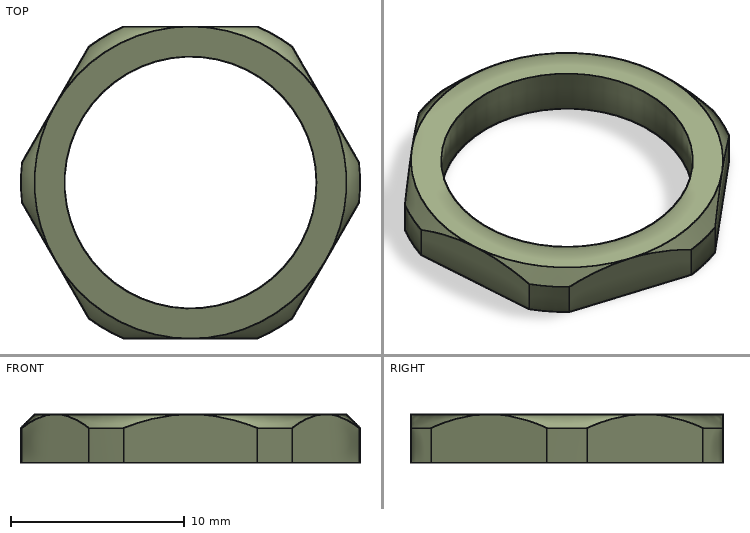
import cadquery as cq
import math

corner_diameter = 19.58
across_flats = 18.0
bore_diameter = 14.5
thickness = 2.8

bevel = (corner_diameter - across_flats) / 2


def rounded_blank():
    """Disc that rounds the hexagon corners, beveled around its top edge."""
    disc = cq.Workplane("XY").circle(corner_diameter / 2).extrude(thickness)
    return disc.faces(">Z").edges().chamfer(bevel)


def hexagon_prism():
    """Hexagon with corners on the X axis and flats facing +Y and -Y."""
    sharp_corner_diameter = across_flats / math.cos(math.radians(30))
    return cq.Workplane("XY").polygon(6, sharp_corner_diameter).extrude(thickness)


def bore():
    """Plain cylinder that opens the ring right through."""
    return cq.Workplane("XY").circle(bore_diameter / 2).extrude(thickness)


result = rounded_blank().intersect(hexagon_prism()).cut(bore())